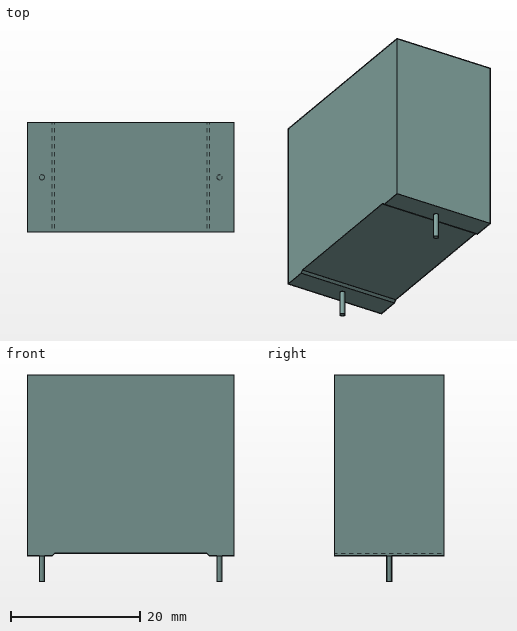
import cadquery as cq

case_length = 32.0
case_width = 17.0
overall_height = 32.0

lead_diameter = 0.8
lead_spacing = 27.5
lead_length = 4.0
lead_overlap = 0.8

foot_length = 3.85
standoff = 0.4

case_height = overall_height - lead_length


def make_case():
    """Case profile in XZ, with a shallow full-width recess between the feet."""
    half_length = case_length / 2
    foot_edge = half_length - foot_length
    recess_edge = foot_edge - standoff
    return (
        cq.Workplane("XZ")
        .moveTo(-half_length, case_height)
        .lineTo(-half_length, 0)
        .lineTo(-foot_edge, 0)
        .lineTo(-recess_edge, standoff)
        .lineTo(recess_edge, standoff)
        .lineTo(foot_edge, 0)
        .lineTo(half_length, 0)
        .lineTo(half_length, case_height)
        .close()
        .extrude(case_width / 2, both=True)
    )


def make_leads():
    """Two straight leads, one below each foot."""
    return (
        cq.Workplane("XY", origin=(0, 0, -lead_length))
        .pushPoints([(-lead_spacing / 2, 0), (lead_spacing / 2, 0)])
        .circle(lead_diameter / 2)
        .extrude(lead_length + lead_overlap)
    )


result = make_case().union(make_leads())